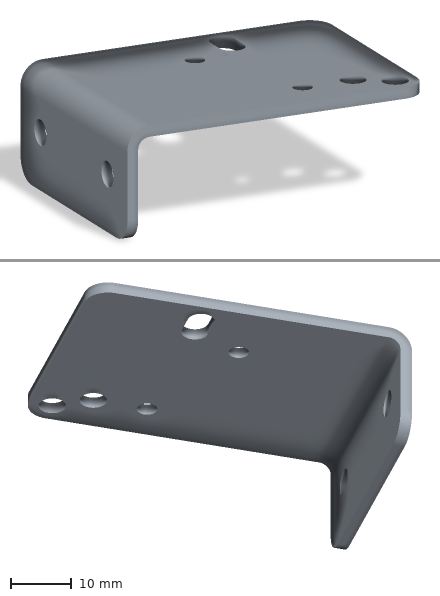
import cadquery as cq

width = 40.0
depth = 55.0
height = 20.0
thickness = 2.0
bend_radius = 4.0
corner_radius = 4.0

large_diameter = 4.5
small_diameter = 3.4
flange_hole_spacing = 25.0
flange_hole_height = height / 2

large_holes = [(16.0, 4.0), (12.5, 10.0)]
small_holes = [(12.5, 19.25), (-8.45, 28.7)]
slot_center = (-14.1, 20.0)
slot_length = 8.0


def bent_sheet():
    """L-shaped sheet with a rounded bend, extruded across the width."""
    profile = (
        cq.Workplane("YZ")
        .moveTo(0, 0)
        .lineTo(0, height - bend_radius)
        .radiusArc((bend_radius, height), bend_radius)
        .lineTo(depth, height)
        .lineTo(depth, height - thickness)
        .lineTo(bend_radius, height - thickness)
        .radiusArc((thickness, height - bend_radius), -(bend_radius - thickness))
        .lineTo(thickness, 0)
        .close()
    )
    return profile.extrude(width / 2, both=True)


def round_free_corners(sheet):
    """Round the back corners of the plate and the lower corners of the flange."""
    sheet = sheet.faces(">Y").edges("|Z").fillet(corner_radius)
    return sheet.faces("<Z").edges("|Y").fillet(corner_radius)


def plate_points(places):
    return [(x, depth - from_back) for x, from_back in places]


def plate_cutters():
    """Vertical cutters for the round holes and the slot of the plate."""
    plane = cq.Workplane("XY").workplane(offset=height - thickness)
    large = plane.pushPoints(plate_points(large_holes)).circle(large_diameter / 2).extrude(thickness)
    small = plane.pushPoints(plate_points(small_holes)).circle(small_diameter / 2).extrude(thickness)
    slot = plane.pushPoints(plate_points([slot_center])).slot2D(slot_length, large_diameter)
    return [large, small, slot.extrude(thickness)]


def flange_cutter():
    """Horizontal cutters for the pair of holes in the flange."""
    centers = [(side * flange_hole_spacing / 2, flange_hole_height) for side in (-1, 1)]
    return cq.Workplane("XZ").pushPoints(centers).circle(large_diameter / 2).extrude(-thickness)


result = round_free_corners(bent_sheet())
for cutter in plate_cutters():
    result = result.cut(cutter)
result = result.cut(flange_cutter())